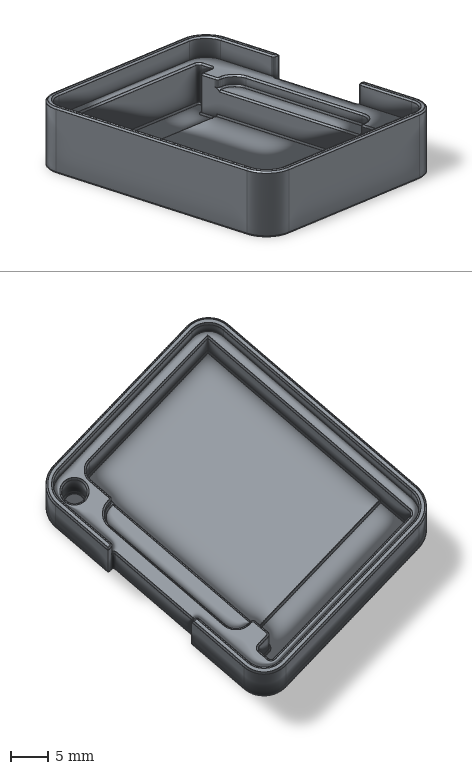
import cadquery as cq
LENGTH = 42.0
WIDTH = 34.5
HEIGHT = 9.5
CORNER_RADIUS = 4.0
CHAMFER = 0.25

WALL = 1.0
LEDGE_Z = 6.5

GAP_WIDTH = 15.08
GAP_CORNER_RADIUS = 0.38

POCKET_INSET = 2.5
POCKET_BACK_INSET = 6.55
POCKET_FLOOR_Z = 1.15
POCKET_CORNER_RADIUS = 1.85
NOTCH_CORNER_RADIUS = 0.5

NOTCH_WIDTH = 2.6
NOTCH_BACK_INSET = 3.82

CHANNEL_WIDTH = 5.7
CHANNEL_DROP = 0.5

RECESS_LEFT_INSET = 8.35
RECESS_RIGHT_INSET = 8.35
RECESS_BACK_INSET = 3.5
RECESS_DEPTH = 1.6
RECESS_CORNER_RADIUS = 2.25
RECESS_MOUTH_RADIUS = 0.5

HOLE_DIAMETER = 3.4
HOLE_INSET = 3.85

LEFT, RIGHT = -LENGTH / 2, LENGTH / 2
FRONT, BACK = -WIDTH / 2, WIDTH / 2
POCKET_LEFT = LEFT + POCKET_INSET
POCKET_RIGHT = RIGHT - POCKET_INSET
POCKET_FRONT = FRONT + POCKET_INSET
POCKET_BACK = BACK - POCKET_BACK_INSET
RECESS_FLOOR_Z = LEDGE_Z - RECESS_DEPTH
TOLERANCE = 0.005


def block(x_min, x_max, y_min, y_max, z_min, z_max):
    """Axis-aligned block between the given limits."""
    size = (x_max - x_min, y_max - y_min, z_max - z_min)
    return cq.Workplane("XY").box(*size, centered=False).translate((x_min, y_min, z_min))


def within(x_min, x_max, y_min, y_max, z_min, z_max):
    """Selector for the faces or edges lying wholly between the given limits."""
    low = (x_min - TOLERANCE, y_min - TOLERANCE, z_min - TOLERANCE)
    high = (x_max + TOLERANCE, y_max + TOLERANCE, z_max + TOLERANCE)
    return cq.selectors.BoxSelector(low, high, boundingbox=True)


def rounded_body(z_min, z_max, inset=0.0):
    """Block with the rounded outline of the body, moved inwards by inset."""
    body = block(LEFT + inset, RIGHT - inset, FRONT + inset, BACK - inset, z_min, z_max)
    return body.edges("|Z").fillet(CORNER_RADIUS - inset)


def gap_block():
    return block(-GAP_WIDTH / 2, GAP_WIDTH / 2, BACK - WALL, BACK + WALL, 0, HEIGHT)


def make_base():
    """Solid part below the ledge, with round corners at the ends of the gap."""
    base = rounded_body(0, LEDGE_Z).faces("<Z").edges().chamfer(CHAMFER)
    base = base.cut(gap_block().edges("|Z and <Y").fillet(GAP_CORNER_RADIUS))
    gap_edge = within(-GAP_WIDTH / 2, GAP_WIDTH / 2, BACK - WALL, BACK - WALL, LEDGE_Z, LEDGE_Z)
    return base.edges(gap_edge).chamfer(CHAMFER)


def make_rim():
    """Wall around the ledge; its inner edges at the gap are rounded and its top is chamfered."""
    rim_bottom = LEDGE_Z - CHAMFER
    rim = rounded_body(rim_bottom, HEIGHT).cut(rounded_body(rim_bottom, HEIGHT, WALL)).cut(gap_block())
    tips = within(-GAP_WIDTH / 2, GAP_WIDTH / 2, BACK - WALL, BACK - WALL, rim_bottom, HEIGHT)
    rim = rim.edges("|Z").edges(tips).fillet(GAP_CORNER_RADIUS)
    return rim.faces(">Z").edges().chamfer(CHAMFER)


def pocket_outline(floor_z):
    """Pocket with its notch, from the given floor up to the ledge."""
    notch_right = POCKET_LEFT + NOTCH_WIDTH
    notch_back = BACK - NOTCH_BACK_INSET
    pocket = block(POCKET_LEFT, POCKET_RIGHT, POCKET_FRONT, POCKET_BACK, floor_z, LEDGE_Z)
    pocket = pocket.edges("|Z and >X and >Y").fillet(POCKET_CORNER_RADIUS)
    pocket = pocket.union(block(POCKET_LEFT, notch_right, POCKET_FRONT, notch_back, floor_z, LEDGE_Z))
    notch_corners = within(POCKET_LEFT, notch_right, POCKET_FRONT, notch_back, floor_z, LEDGE_Z)
    return pocket.edges("|Z").edges(notch_corners).fillet(NOTCH_CORNER_RADIUS)


def make_pocket():
    """Main pocket together with the deeper channel, both with chamfered floors."""
    channel_floor_z = POCKET_FLOOR_Z - CHANNEL_DROP
    channel_right = POCKET_LEFT + CHANNEL_WIDTH
    strip = block(POCKET_LEFT, channel_right, FRONT, BACK, channel_floor_z, LEDGE_Z)
    channel = pocket_outline(channel_floor_z).intersect(strip)
    channel = channel.faces("<Z").edges().chamfer(CHAMFER)
    return pocket_outline(POCKET_FLOOR_Z).faces("<Z").edges().chamfer(CHAMFER).union(channel)


def make_recess():
    """Recess with round back corners and a mouth that flares into the pocket wall."""
    left = LEFT + RECESS_LEFT_INSET
    right = RIGHT - RECESS_RIGHT_INSET
    back = BACK - RECESS_BACK_INSET
    corner = RECESS_CORNER_RADIUS
    mouth = RECESS_MOUTH_RADIUS
    recess = (
        cq.Workplane("XY", origin=(0, 0, RECESS_FLOOR_Z))
        .moveTo(left - mouth, POCKET_BACK - mouth)
        .lineTo(left - mouth, POCKET_BACK)
        .radiusArc((left, POCKET_BACK + mouth), -mouth)
        .lineTo(left, back - corner)
        .radiusArc((left + corner, back), corner)
        .lineTo(right - corner, back)
        .radiusArc((right, back - corner), corner)
        .lineTo(right, POCKET_BACK + mouth)
        .radiusArc((right + mouth, POCKET_BACK), -mouth)
        .lineTo(right + mouth, POCKET_BACK - mouth)
        .close()
        .extrude(RECESS_DEPTH)
    )
    return recess.faces("<Z").edges("not <Y").chamfer(CHAMFER)


def make_hole():
    """Blind hole from the ledge to the level of the pocket floor."""
    hole = cq.Workplane("XY").circle(HOLE_DIAMETER / 2).extrude(LEDGE_Z - POCKET_FLOOR_Z)
    hole = hole.faces("<Z").edges().chamfer(CHAMFER)
    return hole.translate((RIGHT - HOLE_INSET, BACK - HOLE_INSET, POCKET_FLOOR_Z))


def chamfer_openings(base):
    """Chamfer the openings in the ledge and the lip between recess and pocket."""
    ledge = base.faces(">Z").val()
    opening_edges = [edge for wire in ledge.innerWires() for edge in wire.Edges()]
    lip = within(LEFT, RIGHT, POCKET_BACK, POCKET_BACK, RECESS_FLOOR_Z, RECESS_FLOOR_Z)
    return base.newObject(opening_edges + base.edges(lip).vals()).chamfer(CHAMFER)


base = make_base().cut(make_pocket()).cut(make_recess()).cut(make_hole())
result = chamfer_openings(base).union(make_rim())